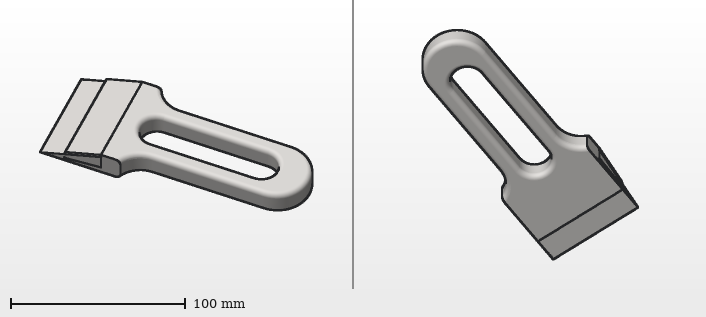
import cadquery as cq
import math

LENGTH = 155.0
HEAD_WIDTH = 60.0
THICKNESS = 15.0

HANDLE_WIDTH = 40.0
HANDLE_RADIUS = HANDLE_WIDTH / 2
HANDLE_END_CENTER_X = LENGTH - HANDLE_RADIUS
FLARE_END_X = 65.6
FLARE_RADIUS = 17.0
EDGE_FILLET = 3.1

SLOT_RADIUS = 10.0
SLOT_START_CENTER_X = 60.0
SLOT_END_CENTER_X = 125.0

NOSE_X = 15.0
SEAT_BACK_X = 38.0
BLADE_BACK_HEIGHT = 13.0
SLOPE = BLADE_BACK_HEIGHT / SEAT_BACK_X
LIP_TOP = THICKNESS - SLOPE * (SEAT_BACK_X - NOSE_X)
SEAT_FRONT_HEIGHT = 2.0
SEAT_BACK_HEIGHT = 4.0

SELECTION_MARGIN = 1.5


def edges_around(low_x, high_x, low_y, high_y):
    """Selector for edges centred in a rectangle of the plan, through the whole thickness."""
    return cq.selectors.BoxSelector(
        (low_x - SELECTION_MARGIN, low_y - SELECTION_MARGIN, -SELECTION_MARGIN),
        (high_x + SELECTION_MARGIN, high_y + SELECTION_MARGIN, THICKNESS + SELECTION_MARGIN),
    )


def make_blade():
    """Wedge across the whole head, with its underside stepped over the holder's lower jaw."""
    profile = [
        (0, 0),
        (NOSE_X, 0),
        (NOSE_X, SEAT_FRONT_HEIGHT),
        (SEAT_BACK_X, SEAT_BACK_HEIGHT),
        (SEAT_BACK_X, BLADE_BACK_HEIGHT),
    ]
    return cq.Workplane("XZ").polyline(profile).close().extrude(HEAD_WIDTH / 2, both=True)


def flared_bar():
    """Head, flare and round-ended handle as one plate, with the handle edges rounded."""
    half_head = HEAD_WIDTH / 2
    flare_center_y = HANDLE_RADIUS + FLARE_RADIUS
    flare_start_x = FLARE_END_X - math.sqrt(FLARE_RADIUS**2 - (flare_center_y - half_head) ** 2)
    flare_diagonal = FLARE_RADIUS * math.sqrt(0.5)
    flare_mid_x = FLARE_END_X - flare_diagonal
    flare_mid_y = flare_center_y - flare_diagonal
    plate = (
        cq.Workplane("XY")
        .moveTo(NOSE_X, -half_head)
        .lineTo(flare_start_x, -half_head)
        .threePointArc((flare_mid_x, -flare_mid_y), (FLARE_END_X, -HANDLE_RADIUS))
        .lineTo(HANDLE_END_CENTER_X, -HANDLE_RADIUS)
        .threePointArc((LENGTH, 0), (HANDLE_END_CENTER_X, HANDLE_RADIUS))
        .lineTo(FLARE_END_X, HANDLE_RADIUS)
        .threePointArc((flare_mid_x, flare_mid_y), (flare_start_x, half_head))
        .lineTo(NOSE_X, half_head)
        .close()
        .extrude(THICKNESS)
    )
    handle_side = edges_around(FLARE_END_X, HANDLE_END_CENTER_X, -HANDLE_RADIUS, -HANDLE_RADIUS)
    return plate.faces("|Z").edges(handle_side).fillet(EDGE_FILLET)


def cut_grip_slot(plate):
    """Cut the through slot and round its rim on both faces."""
    slot_length = SLOT_END_CENTER_X - SLOT_START_CENTER_X + 2 * SLOT_RADIUS
    slot_center_x = (SLOT_START_CENTER_X + SLOT_END_CENTER_X) / 2
    slot = (
        cq.Workplane("XY")
        .center(slot_center_x, 0)
        .slot2D(slot_length, 2 * SLOT_RADIUS)
        .extrude(THICKNESS)
    )
    slot_rim = edges_around(
        SLOT_START_CENTER_X - SLOT_RADIUS,
        SLOT_END_CENTER_X + SLOT_RADIUS,
        -SLOT_RADIUS,
        SLOT_RADIUS,
    )
    return plate.cut(slot).faces("|Z").edges(slot_rim).fillet(EDGE_FILLET)


def cut_ramp(plate):
    """Slope the front of the head down to the nose and round the lip at the ramp's low end."""
    space_above = (
        cq.Workplane("XZ")
        .polyline([(NOSE_X, LIP_TOP), (SEAT_BACK_X, THICKNESS), (NOSE_X, THICKNESS)])
        .close()
        .extrude(HEAD_WIDTH / 2, both=True)
    )
    lip_edge = cq.selectors.NearestToPointSelector((NOSE_X, 0, LIP_TOP))
    return plate.cut(space_above).edges("|Y").edges(lip_edge).fillet(EDGE_FILLET)


def make_holder(blade):
    """Handle and head in one piece, with a seat that fits the blade exactly."""
    body = flared_bar()
    body = cut_grip_slot(body)
    body = cut_ramp(body)
    return body.cut(blade)


blade = make_blade()
holder = make_holder(blade)
result = cq.Compound.makeCompound([holder.val(), blade.val()])